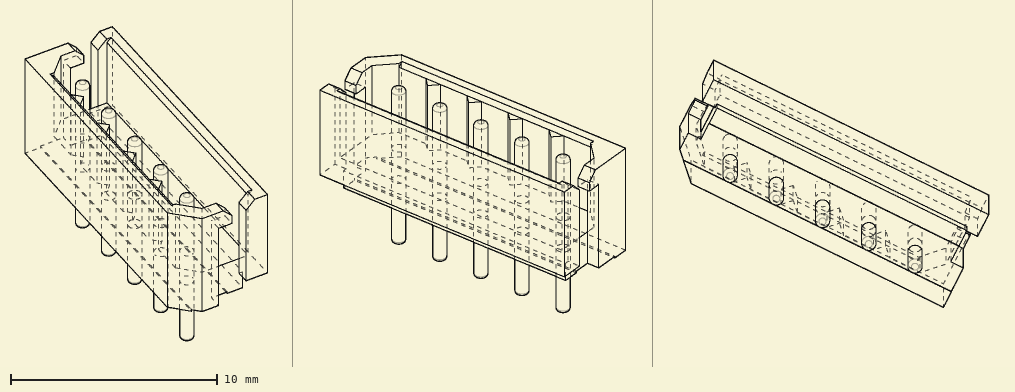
import cadquery as cq

LENGTH = 14.9
DEPTH = 4.9
HEIGHT = 5.9

END_WALL = 0.69
FRONT_WALL = 0.69
BACK_WALL = 0.7
FLOOR_TOP = 1.9
CAVITY_CORNER = 0.94
LEAD_IN = 0.22

POST_DEPTH = 2.16
HOOK_TIP = 2.9
HOOK_BOTTOM = 4.92
BACK_POST_FRONT = 3.7
HOOK_CHAMFER = 0.49

BACK_WALL_BOTTOM = 1.0
FLOOR_BACK = 3.9
FOOT_HEIGHT = 0.09
FOOT_DEPTH = 0.86
KEY_CHAMFER = 1.24

PIN_COUNT = 5
PIN_PITCH = 2.5
PIN_DIAMETER = 0.7
PIN_Y = 1.8
PIN_BOTTOM = -3.5
PIN_TOP = 5.4
PIN_TOP_ROUND = 0.2
PIN_BOTTOM_ROUND = 0.18

RIB_DEPTH = 0.45
RIB_TOP = HEIGHT - LEAD_IN

CAVITY_LENGTH = LENGTH - 2 * END_WALL
CAVITY_BACK = DEPTH - BACK_WALL
PIN_POSITIONS = [(PIN_PITCH * (i - (PIN_COUNT - 1) / 2), PIN_Y) for i in range(PIN_COUNT)]


def box(x_min, x_max, y_min, y_max, z_min, z_max):
    size = (x_max - x_min, y_max - y_min, z_max - z_min)
    return cq.Workplane("XY").box(*size, centered=False).translate((x_min, y_min, z_min))


def prism_along_x(points, length):
    """Prism with a (Y, Z) outline, centred on X = 0."""
    return cq.Workplane("YZ").polyline(points).close().extrude(length / 2, both=True)


def make_outer_block():
    """Full-length block: deep at the top, stepped in under the back wall, on two feet."""
    outline = [
        (0, 0),
        (FOOT_DEPTH, 0),
        (FOOT_DEPTH, FOOT_HEIGHT),
        (FLOOR_BACK - FOOT_DEPTH, FOOT_HEIGHT),
        (FLOOR_BACK - FOOT_DEPTH, 0),
        (FLOOR_BACK, 0),
        (FLOOR_BACK, BACK_WALL_BOTTOM),
        (DEPTH, BACK_WALL_BOTTOM),
        (DEPTH, HEIGHT),
        (0, HEIGHT),
    ]
    block = prism_along_x(outline, LENGTH)
    return block.edges("|Z and >X and <Y").chamfer(KEY_CHAMFER)


def make_cavity():
    cavity = box(-CAVITY_LENGTH / 2, CAVITY_LENGTH / 2, FRONT_WALL, CAVITY_BACK, FLOOR_TOP, HEIGHT)
    return cavity.edges("|Z and <Y").chamfer(CAVITY_CORNER)


def make_lead_ins():
    """Wedges that bevel the top inner edges of the front and back walls."""
    front = [
        (FRONT_WALL - LEAD_IN, HEIGHT),
        (FRONT_WALL, HEIGHT),
        (FRONT_WALL, HEIGHT - LEAD_IN),
    ]
    back = [
        (CAVITY_BACK + LEAD_IN, HEIGHT),
        (CAVITY_BACK, HEIGHT),
        (CAVITY_BACK, HEIGHT - LEAD_IN),
    ]
    front_wedge = prism_along_x(front, CAVITY_LENGTH - 2 * CAVITY_CORNER)
    return front_wedge.add(prism_along_x(back, CAVITY_LENGTH)).combine()


def make_end_openings():
    """Hook-shaped openings through both end walls, with a flared slot at the top."""
    outline = [
        (POST_DEPTH, 0),
        (POST_DEPTH, HOOK_BOTTOM),
        (HOOK_TIP, HOOK_BOTTOM),
        (HOOK_TIP, HEIGHT - HOOK_CHAMFER),
        (HOOK_TIP - HOOK_CHAMFER, HEIGHT),
        (BACK_POST_FRONT + HOOK_CHAMFER, HEIGHT),
        (BACK_POST_FRONT, HEIGHT - HOOK_CHAMFER),
        (BACK_POST_FRONT, BACK_WALL_BOTTOM),
        (FLOOR_BACK, BACK_WALL_BOTTOM),
        (FLOOR_BACK, 0),
    ]
    middle = box(-CAVITY_LENGTH / 2, CAVITY_LENGTH / 2, 0, DEPTH, 0, HEIGHT)
    return prism_along_x(outline, LENGTH).cut(middle)


def make_rib(x):
    outline = [
        (x - RIB_DEPTH, FRONT_WALL),
        (x, FRONT_WALL + RIB_DEPTH),
        (x + RIB_DEPTH, FRONT_WALL),
    ]
    rib = cq.Workplane("XY").workplane(offset=FLOOR_TOP).polyline(outline).close()
    return rib.extrude(RIB_TOP - FLOOR_TOP)


def make_pin(position):
    pin = cq.Workplane("XY").circle(PIN_DIAMETER / 2).extrude(PIN_TOP - PIN_BOTTOM)
    pin = pin.faces(">Z").edges().fillet(PIN_TOP_ROUND)
    pin = pin.faces("<Z").edges().fillet(PIN_BOTTOM_ROUND)
    return pin.translate((*position, PIN_BOTTOM))


def make_housing():
    housing = make_outer_block().cut(make_cavity()).cut(make_lead_ins()).cut(make_end_openings())
    for x, _ in PIN_POSITIONS[:-1]:
        housing = housing.union(make_rib(x + PIN_PITCH / 2))
    pin_holes = cq.Workplane("XY").pushPoints(PIN_POSITIONS).circle(PIN_DIAMETER / 2).extrude(FLOOR_TOP)
    return housing.cut(pin_holes)


housing = make_housing()
pins = [make_pin(position) for position in PIN_POSITIONS]

result = cq.Compound.makeCompound([housing.val(), *[pin.val() for pin in pins]])